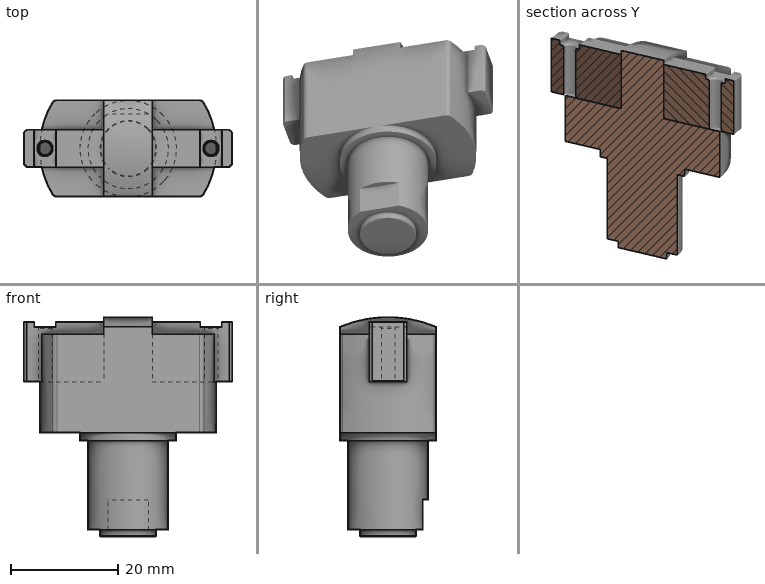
import cadquery as cq
import math


block_end_radius = 16.5
block_depth = 18.0
block_height = 18.4
block_corner_radius = 1.0

bridge_width = 9.1
bridge_shoulder_z = 19.75
crown_z = 21.6

flange_diameter = 18.0
flange_thickness = 1.5
shank_diameter = 15.0
shank_bottom_z = -18.1
plug_diameter = 10.5
plug_thickness = 1.3
plug_chamfer = 0.12
flat_offset = 6.5
flat_height = 5.6

jaw_width = 7.0
jaw_outer_x = 19.5
jaw_inner_x = bridge_width / 2
jaw_bottom_z = 9.55
jaw_top_z = 20.7
jaw_length = jaw_outer_x - jaw_inner_x
jaw_height = jaw_top_z - jaw_bottom_z
jaw_corner_chamfer = 0.6
jaw_edge_chamfer = 0.12

groove_center_x = 15.5
groove_width = 4.0
groove_floor_z = bridge_shoulder_z
hole_diameter = 2.46
hole_mouth_diameter = 2.95


def make_block():
    """Flat-sided block with ends on one common cylinder and rounded vertical corners."""
    half_depth = block_depth / 2
    corner_x = math.sqrt(block_end_radius**2 - half_depth**2)
    return (
        cq.Workplane("XY")
        .moveTo(-corner_x, -half_depth)
        .lineTo(corner_x, -half_depth)
        .threePointArc((block_end_radius, 0), (corner_x, half_depth))
        .lineTo(-corner_x, half_depth)
        .threePointArc((-block_end_radius, 0), (-corner_x, -half_depth))
        .close()
        .extrude(block_height)
        .edges("|Z")
        .fillet(block_corner_radius)
    )


def make_bridge():
    """Bridge with a crowned top, spanning the full depth of the block."""
    half_depth = block_depth / 2
    return (
        cq.Workplane("YZ", origin=(-bridge_width / 2, 0, 0))
        .moveTo(-half_depth, 0)
        .lineTo(half_depth, 0)
        .lineTo(half_depth, bridge_shoulder_z)
        .threePointArc((0, crown_z), (-half_depth, bridge_shoulder_z))
        .close()
        .extrude(bridge_width)
    )


def make_shank():
    """Flange, shank and end plug, with a flat on the +Y side of the shank's lower end."""
    flange = cq.Workplane("XY").circle(flange_diameter / 2).extrude(-flange_thickness)
    shank = cq.Workplane("XY").circle(shank_diameter / 2).extrude(shank_bottom_z)
    flat_cut = cq.Workplane("XY", origin=(0, flat_offset, shank_bottom_z)).box(
        shank_diameter, shank_diameter, flat_height, centered=(True, False, False)
    )
    plug = (
        cq.Workplane("XY", origin=(0, 0, shank_bottom_z))
        .circle(plug_diameter / 2)
        .extrude(-plug_thickness)
        .faces("<Z")
        .chamfer(plug_chamfer)
    )
    return flange.union(shank.cut(flat_cut)).union(plug)


def make_jaw_blank(side):
    """Plain rectangular jaw, also the shape of its slot; side is -1 for -X or 1 for +X."""
    middle_x = side * (jaw_inner_x + jaw_outer_x) / 2
    return cq.Workplane("XY", origin=(middle_x, 0, jaw_bottom_z)).box(
        jaw_length, jaw_width, jaw_height, centered=(True, True, False)
    )


def make_housing():
    housing = make_block().union(make_bridge()).union(make_shank())
    for side in (-1, 1):
        housing = housing.cut(make_jaw_blank(side))
    return housing


def make_jaw(side):
    """Jaw with chamfered outer end, cross groove and countersunk through hole."""
    outer_face = ">X" if side > 0 else "<X"
    jaw = make_jaw_blank(side).faces(outer_face).edges("|Z").chamfer(jaw_corner_chamfer)
    jaw = jaw.faces(outer_face).edges("|Y").chamfer(jaw_edge_chamfer)

    half_groove = groove_width / 2
    half_mouth = half_groove + jaw_edge_chamfer
    groove = (
        cq.Workplane("XZ", origin=(side * groove_center_x, jaw_width / 2, 0))
        .moveTo(-half_groove, groove_floor_z)
        .lineTo(half_groove, groove_floor_z)
        .lineTo(half_groove, jaw_top_z - jaw_edge_chamfer)
        .lineTo(half_mouth, jaw_top_z)
        .lineTo(-half_mouth, jaw_top_z)
        .lineTo(-half_groove, jaw_top_z - jaw_edge_chamfer)
        .close()
        .extrude(jaw_width)
    )
    hole_top = cq.Workplane("XY", origin=(side * groove_center_x, 0, groove_floor_z))
    jaw = jaw.cut(groove)
    jaw = jaw.cut(hole_top.circle(hole_diameter / 2).extrude(-jaw_height))
    countersink = cq.Solid.makeCone(
        hole_mouth_diameter / 2,
        hole_diameter / 2,
        (hole_mouth_diameter - hole_diameter) / 2,
        pnt=cq.Vector(side * groove_center_x, 0, groove_floor_z),
        dir=cq.Vector(0, 0, -1),
    )
    return jaw.cut(cq.Workplane(countersink))


housing = make_housing()
jaws = [make_jaw(side) for side in (-1, 1)]

result = cq.Compound.makeCompound([housing.val(), *[jaw.val() for jaw in jaws]])